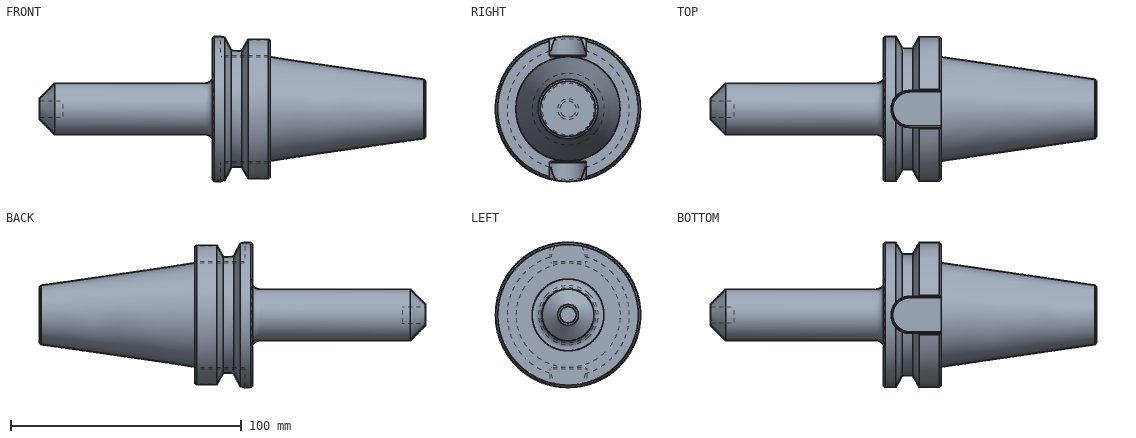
import cadquery as cq
import math

length = 167.4

pin_radius = 22.5 / 2
nose_length = 6.7
tip_radius = pin_radius - nose_length
tip_hole_diameter = 7.0
tip_hole_depth = 10.0

root_radius = 3.3
recess_depth = 0.5
recess_floor_radius = pin_radius + root_radius
recess_rim_radius = 15.5

flange_front = 74.8
flange_back = 100.1
flange_radius = 63.0 / 2
flange_chamfer = 1.0
groove_radius = 26.5
groove_front = 80.4
groove_floor_front = 83.2
groove_floor_back = 87.7
groove_back = 90.5

taper_large_radius = 22.6
taper_ratio = 7 / 24
taper_chamfer = 0.8
taper_small_radius = taper_large_radius - (length - flange_back) * taper_ratio / 2

slot_width = 16.0
slot_floor_height = 22.6
slot_front = 78.3
slot_corner_chamfer = 0.7
slot_mouth_chamfer = 0.5


def make_body():
    """Revolve the half profile of the pin, flange and taper."""
    recess_floor = flange_front + recess_depth
    root_start = recess_floor - root_radius
    root_mid = (
        root_start + root_radius * math.sin(math.pi / 4),
        recess_floor_radius - root_radius * math.cos(math.pi / 4),
    )
    profile = (
        cq.Workplane("XY")
        .moveTo(0, 0)
        .lineTo(0, tip_radius)
        .lineTo(nose_length, pin_radius)
        .lineTo(root_start, pin_radius)
        .threePointArc(root_mid, (recess_floor, recess_floor_radius))
        .lineTo(recess_floor, recess_rim_radius)
        .lineTo(flange_front, recess_rim_radius)
        .lineTo(flange_front, flange_radius - flange_chamfer)
        .lineTo(flange_front + flange_chamfer, flange_radius)
        .lineTo(groove_front, flange_radius)
        .lineTo(groove_floor_front, groove_radius)
        .lineTo(groove_floor_back, groove_radius)
        .lineTo(groove_back, flange_radius)
        .lineTo(flange_back - flange_chamfer, flange_radius)
        .lineTo(flange_back, flange_radius - flange_chamfer)
        .lineTo(flange_back, taper_large_radius)
        .lineTo(length - taper_chamfer, taper_small_radius + taper_chamfer * taper_ratio / 2)
        .lineTo(length, taper_small_radius - taper_chamfer)
        .lineTo(length, 0)
        .close()
    )
    return profile.revolve(360, (0, 0, 0), (1, 0, 0))


def make_slot():
    """Cutter for the upper drive slot: round front end, open back, chamfered floor edge."""
    half_width = slot_width / 2
    arc_center = slot_front + half_width
    cutter = (
        cq.Workplane("XY", origin=(0, 0, slot_floor_height))
        .moveTo(flange_back, -half_width)
        .lineTo(arc_center, -half_width)
        .threePointArc((slot_front, 0), (arc_center, half_width))
        .lineTo(flange_back, half_width)
        .close()
        .extrude(flange_radius - slot_floor_height)
    )
    return cutter.faces("<Z").edges("not(>X)").chamfer(slot_corner_chamfer)


def chamfer_slot_mouths(body):
    """Break the four straight edges where the slot walls meet the rear rim."""
    rear_rim = cq.selectors.BoxSelector(
        (groove_back, -slot_width, -flange_radius),
        (flange_back - flange_chamfer, slot_width, flange_radius),
    )
    wall_height = math.sqrt(flange_radius**2 - (slot_width / 2) ** 2)
    mouth_edges = body.edges("|X").edges(rear_rim).filter(
        lambda edge: math.isclose(abs(edge.Center().z), wall_height, abs_tol=0.02)
    )
    return body.newObject(mouth_edges.vals()).chamfer(slot_mouth_chamfer)


def make_tip_hole():
    """Blind hole bored into the nose along the axis."""
    return cq.Workplane("YZ").circle(tip_hole_diameter / 2).extrude(tip_hole_depth)


upper_slot = make_slot()
lower_slot = upper_slot.mirror("XY")
slotted_body = make_body().cut(upper_slot).cut(lower_slot)
result = chamfer_slot_mouths(slotted_body).cut(make_tip_hole())